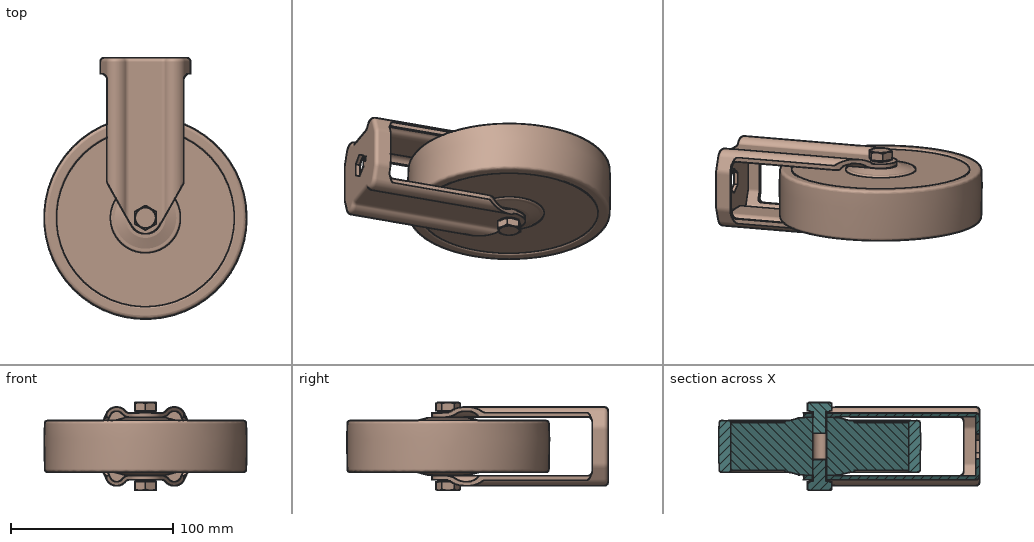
import cadquery as cq
import math


wheel_radius = 62.5
tread_edge_radius = 62.0
tread_inner_radius = 54.7
tread_half_width = 16.0
tread_outer_fillet = 2.0
web_recess = 1.1
web_half_width = tread_half_width - web_recess
boss_radius = 21.5
hub_cone_base_radius = 38.0 / 2
hub_cone_top_radius = 12.4
hub_cone_height = 1.8
hub_spacer_radius = 19.5 / 2
core_bore_diameter = 8.2

sheet = 2.5
arm_inner_z = 18.0
arm_outer_z = arm_inner_z + sheet
arm_flat_half_width = 10.0
rib_peak_x = 17.7
rib_peak_z = 24.3
rib_root_radius = 3.0
arm_half_width = 23.7
arm_lip_z = 18.0
arm_taper_y = 21.5
arm_taper_fillet = 3.2
mount_y = 161 - wheel_radius
mount_depth = 10.0
mount_half_width = 27.9
mount_slope = math.radians(25)
mount_bend_radius = 6.5
mount_edge_fillet = 2.5
mount_corner_radius = 3.5
arm_gap_corner_radius = 2.5
mount_rim_y = mount_y - mount_depth

mount_hex_flats = 13.0
pin_hole_diameter = 3.2
pin_hole_x = -9.8

screw_diameter = 8.0
screw_clearance_diameter = 8.5
screw_top_z = 54.3 / 2
screw_head_height = 5.3
screw_head_flats = 13.0
screw_chamfer = math.radians(30)
screw_collar_diameter = 12.5
screw_collar_height = 0.6
screw_end_z = 8.0


def hexagon(plane, flats):
    """Hexagon with two of its flats facing +X and -X."""
    return plane.transformed(rotate=(0, 0, 30)).polygon(6, flats / math.cos(math.pi / 6))


def make_tread():
    """Ring with a crowned outside, rounded on both sides at its inner and outer edges."""
    ring = (
        cq.Workplane("XZ")
        .moveTo(tread_inner_radius, -tread_half_width)
        .lineTo(tread_edge_radius, -tread_half_width)
        .threePointArc((wheel_radius, 0), (tread_edge_radius, tread_half_width))
        .lineTo(tread_inner_radius, tread_half_width)
        .close()
        .revolve(360, (0, 0, 0), (0, 1, 0))
    )
    ring = ring.faces("|Z").edges(cq.selectors.RadiusNthSelector(-1)).fillet(tread_outer_fillet)
    return ring.faces("|Z").edges(cq.selectors.RadiusNthSelector(0)).fillet(web_recess)


def make_core():
    """Flat web and round boss, with a shallow cone and a spacer face at each end of the hub."""
    cone_top = tread_half_width + hub_cone_height
    web = cq.Workplane("XY").circle(tread_inner_radius).extrude(web_half_width, both=True)
    boss = (
        cq.Workplane("XY")
        .circle(boss_radius)
        .extrude(tread_half_width, both=True)
        .faces("|Z")
        .edges()
        .fillet(web_recess)
    )
    hub = (
        cq.Workplane("XZ")
        .moveTo(0, -cone_top)
        .lineTo(hub_cone_top_radius, -cone_top)
        .lineTo(hub_cone_base_radius, -tread_half_width)
        .lineTo(hub_cone_base_radius, tread_half_width)
        .lineTo(hub_cone_top_radius, cone_top)
        .lineTo(0, cone_top)
        .close()
        .revolve(360, (0, 0, 0), (0, 1, 0))
    )
    spacer = cq.Workplane("XY").circle(hub_spacer_radius).extrude(arm_inner_z, both=True)
    bore = cq.Workplane("XY").circle(core_bore_diameter / 2).extrude(arm_inner_z, both=True)
    return web.union(boss).union(hub).union(spacer).cut(bore)


def polar(center, radius, angle):
    return (center[0] + radius * math.cos(angle), center[1] + radius * math.sin(angle))


def fork_section(inset, start_y, end_y):
    """Bar with the outer outline of the fork moved inward by inset, from start_y to end_y."""
    flat_z = arm_outer_z - inset
    run = rib_peak_x - arm_flat_half_width
    rise = rib_peak_z - arm_outer_z
    turn = 2 * math.atan(rise / run)
    rib_radius = run / math.sin(turn) - rib_root_radius

    root_center = (arm_flat_half_width, arm_outer_z + rib_root_radius)
    rib_center = (rib_peak_x, rib_peak_z - rib_radius)
    wall_start = polar(rib_center, rib_radius, mount_slope)

    bend_x = mount_half_width - mount_bend_radius
    wall_end_x = bend_x + mount_bend_radius * math.cos(mount_slope)
    wall_end_z = wall_start[1] - (wall_end_x - wall_start[0]) / math.tan(mount_slope)
    bend_center = (bend_x, wall_end_z - mount_bend_radius * math.sin(mount_slope))

    root = rib_root_radius + inset
    rib = rib_radius - inset
    bend = mount_bend_radius - inset
    down = -math.pi / 2
    quarter = (
        cq.Workplane("XZ", origin=(0, start_y, 0))
        .lineTo(0, flat_z)
        .lineTo(arm_flat_half_width, flat_z)
        .threePointArc(polar(root_center, root, down + turn / 2), polar(root_center, root, down + turn))
        .threePointArc(polar(rib_center, rib, math.pi / 2), polar(rib_center, rib, mount_slope))
        .lineTo(*polar(bend_center, bend, mount_slope))
        .threePointArc(polar(bend_center, bend, mount_slope / 2), polar(bend_center, bend, 0))
        .lineTo(mount_half_width - inset, 0)
        .close()
        .extrude(start_y - end_y)
    )
    upper = quarter.union(quarter.mirror("YZ"))
    return upper.union(upper.mirror("XY"))


def fork_plan():
    """Block with the plan outline of the fork: rounded tip, taper, arm and wider mounting end."""
    tip_radius = arm_flat_half_width
    corner_distance = math.hypot(arm_half_width, arm_taper_y)
    tangent_angle = math.atan2(arm_taper_y, arm_half_width) - math.acos(tip_radius / corner_distance)
    tangent_point = polar((0, 0), tip_radius, tangent_angle)
    tip_mid = polar((0, 0), tip_radius, (tangent_angle - math.pi / 2) / 2)
    corner_center = (arm_half_width + mount_corner_radius, mount_rim_y - mount_corner_radius)

    half = (
        cq.Workplane("XY")
        .moveTo(0, mount_y)
        .lineTo(0, -tip_radius)
        .threePointArc(tip_mid, tangent_point)
        .lineTo(arm_half_width, arm_taper_y)
        .lineTo(arm_half_width, corner_center[1])
        .threePointArc(
            polar(corner_center, mount_corner_radius, 3 * math.pi / 4),
            (corner_center[0], mount_rim_y),
        )
        .lineTo(mount_half_width, mount_rim_y)
        .lineTo(mount_half_width, mount_y)
        .close()
        .extrude(rib_peak_z, both=True)
    )
    taper_corner = cq.selectors.NearestToPointSelector((arm_half_width, arm_taper_y, 0))
    half = half.edges("|Z").edges(taper_corner).fillet(arm_taper_fillet)
    return half.union(half.mirror("YZ"))


def arm_gap():
    """Space between the lips of the two arms, up to the rim of the mounting end."""
    gap_end = -wheel_radius
    return (
        cq.Workplane("XY")
        .box(2 * mount_half_width, mount_rim_y - gap_end, 2 * arm_lip_z)
        .translate((0, (mount_rim_y + gap_end) / 2, 0))
        .edges("|X and >Y")
        .fillet(arm_gap_corner_radius)
    )


def make_fork():
    start_y = -wheel_radius
    outside = fork_section(0, start_y, mount_y).faces(">Y").edges().fillet(mount_edge_fillet)
    inside = fork_section(sheet, start_y, mount_y - sheet)
    fork = outside.cut(inside).intersect(fork_plan()).cut(arm_gap())

    mount_plane = cq.Workplane("XZ", origin=(0, mount_y, 0))
    hex_hole = hexagon(mount_plane, mount_hex_flats).extrude(sheet)
    pin_hole = mount_plane.center(pin_hole_x, 0).circle(pin_hole_diameter / 2).extrude(sheet)
    axle_holes = cq.Workplane("XY").circle(screw_clearance_diameter / 2).extrude(rib_peak_z, both=True)
    return fork.cut(hex_hole).cut(pin_hole).cut(axle_holes)


def make_screw(side):
    """Hexagon screw on the +Z side (side = 1) or the -Z side (side = -1)."""
    head_z = screw_top_z - screw_head_height
    collar_z = head_z - screw_collar_height
    head = hexagon(cq.Workplane("XY", origin=(0, 0, head_z)), screw_head_flats).extrude(screw_head_height)

    top_radius = screw_collar_diameter / 2
    cone_base_radius = top_radius + screw_head_height / math.tan(screw_chamfer)
    trim_cone = cq.Workplane(
        cq.Solid.makeCone(cone_base_radius, top_radius, screw_head_height, cq.Vector(0, 0, head_z))
    )
    collar = (
        cq.Workplane("XY", origin=(0, 0, collar_z))
        .circle(screw_collar_diameter / 2)
        .extrude(screw_collar_height)
    )
    shank = (
        cq.Workplane("XY", origin=(0, 0, screw_end_z))
        .circle(screw_diameter / 2)
        .extrude(head_z - screw_end_z)
    )
    screw = head.intersect(trim_cone).union(collar).union(shank)
    return screw if side > 0 else screw.mirror("XY")


tread = make_tread()
core = make_core()
fork = make_fork()
screws = [make_screw(side) for side in (1, -1)]

result = cq.Compound.makeCompound(
    [tread.val(), core.val(), fork.val(), *[screw.val() for screw in screws]]
)